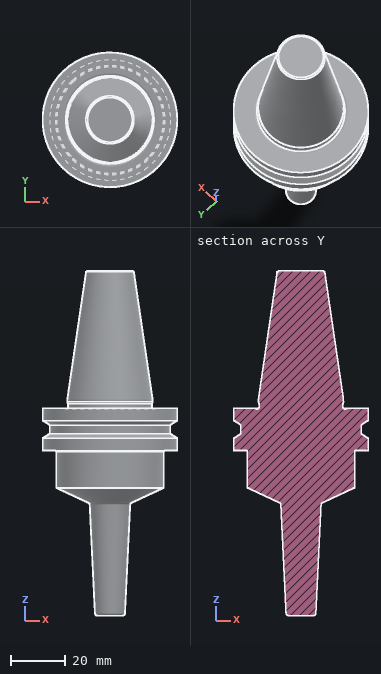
import cadquery as cq
import math


total_height = 127.8
gauge_height = 80.1
flange_top = 76.9
flange_bottom = 61.2
body_bottom = 47.3
nose_top = 41.2

gauge_radius = 15.8
taper_slope = 7 / 48
top_chamfer_width = 0.6
top_chamfer_height = 0.4
gauge_band_height = 0.9
neck_radius = 15.6
neck_cone_height = 0.8

undercut_outer_radius = 17.3
undercut_depth = 0.3
undercut_fillet = 0.8

flange_diameter = 50.0
flange_radius = flange_diameter / 2
groove_radius = 22.4
groove_top = 72.3
groove_bottom = 65.8
groove_side_height = 1.7

body_radius = 20.0
body_top_chamfer = 0.4
body_edge_chamfer = 0.3

nose_radius = 7.5
shoulder_end_radius = 8.2
shoulder_end_height = 41.9
tip_radius = 5.6
tip_round = 1.2

taper_top_radius = gauge_radius - taper_slope * (total_height - gauge_height)
band_bottom = gauge_height - gauge_band_height
undercut_floor = flange_top - undercut_depth
undercut_tangent = undercut_floor + undercut_fillet
undercut_floor_radius = neck_radius + undercut_fillet
diagonal = math.sqrt(0.5)


def round_midpoint(center_radius, center_height, radius, radial_sign):
    """Midpoint of the lower quarter arc; radial_sign is 1 away from the axis, -1 towards it."""
    offset = radius * diagonal
    return (center_radius + radial_sign * offset, center_height - offset)


undercut_middle = round_midpoint(undercut_floor_radius, undercut_tangent, undercut_fillet, -1)
tip_middle = round_midpoint(tip_radius - tip_round, tip_round, tip_round, 1)

profile = (
    cq.Workplane("XZ")
    .lineTo(tip_radius - tip_round, 0)
    .threePointArc(tip_middle, (tip_radius, tip_round))
    .lineTo(nose_radius, nose_top)
    .tangentArcPoint((shoulder_end_radius, shoulder_end_height), relative=False)
    .lineTo(body_radius - body_edge_chamfer, body_bottom)
    .lineTo(body_radius, body_bottom + body_edge_chamfer)
    .lineTo(body_radius, flange_bottom - body_top_chamfer)
    .lineTo(body_radius + body_top_chamfer, flange_bottom)
    .lineTo(flange_radius, flange_bottom)
    .lineTo(flange_radius, groove_bottom)
    .lineTo(groove_radius, groove_bottom + groove_side_height)
    .lineTo(groove_radius, groove_top - groove_side_height)
    .lineTo(flange_radius, groove_top)
    .lineTo(flange_radius, flange_top)
    .lineTo(undercut_outer_radius, flange_top)
    .lineTo(undercut_floor_radius, undercut_floor)
    .threePointArc(undercut_middle, (neck_radius, undercut_tangent))
    .lineTo(neck_radius, band_bottom - neck_cone_height)
    .lineTo(gauge_radius, band_bottom)
    .lineTo(gauge_radius, gauge_height)
    .lineTo(taper_top_radius, total_height - top_chamfer_height)
    .lineTo(taper_top_radius - top_chamfer_width, total_height)
    .lineTo(0, total_height)
    .close()
)

result = profile.revolve(360, (0, 0, 0), (0, 1, 0))